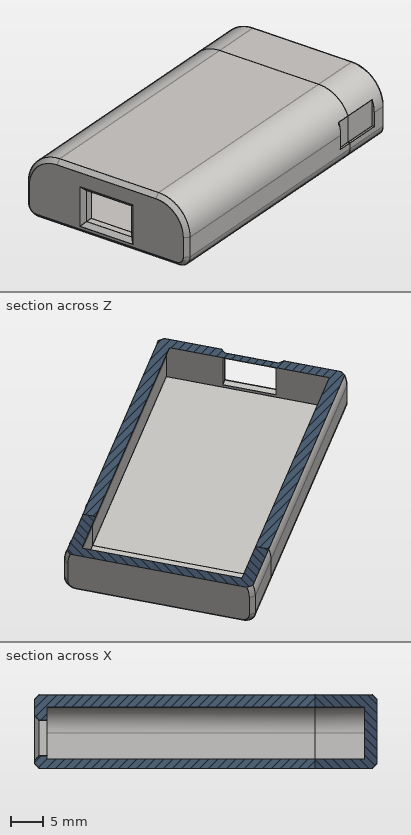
import cadquery as cq

width = 30.85
length = 53.3
height = 11.5

top_radius = 6.0
bottom_radius = 2.0
end_chamfer = 0.75

cap_length = 9.65
joint_y = length - cap_length

wall = 2.0
floor_thickness = 1.5
cavity_width = width - 2 * wall
cavity_height = height - wall - floor_thickness
cavity_radius = top_radius - wall

port_width = 8.6
port_height = 5.5
port_bottom_z = 2.0
port_chamfer = 0.75

grip_length = 9.0
grip_depth = 0.4
grip_rear_gap = 3.15
grip_bottom_z = 3.0


def round_top_bar(bar_width, bar_height, radius, start_y, end_y):
    """Bar along Y, standing on Z = 0, with its two upper long edges rounded."""
    bar = cq.Workplane("XY").box(bar_width, end_y - start_y, bar_height, centered=(True, False, False))
    return bar.translate((0, start_y, 0)).edges("|Y and >Z").fillet(radius)


def case_section(start_y, end_y, end_face):
    """Solid stretch of the case, chamfered around the one face that is an outer end."""
    bar = round_top_bar(width, height, top_radius, start_y, end_y)
    rounded = bar.edges("|Y and <Z").fillet(bottom_radius)
    return rounded.faces(end_face).edges().chamfer(end_chamfer)


def cavity_cutter():
    """Interior space, closed by a wall at each end of the case."""
    bar = round_top_bar(cavity_width, cavity_height, cavity_radius, wall, length - wall)
    return bar.translate((0, 0, floor_thickness))


def port_cutter():
    """Rectangular opening through the front wall, its mouth flared at 45 degrees."""
    mouth_width = port_width + 2 * port_chamfer
    mouth_height = port_height + 2 * port_chamfer
    front_plane = cq.Workplane("XZ", origin=(0, 0, port_bottom_z + port_height / 2))
    opening = front_plane.rect(port_width, port_height).extrude(-wall)
    flare = (
        front_plane.rect(mouth_width, mouth_height)
        .workplane(offset=-port_chamfer)
        .rect(port_width, port_height)
        .loft()
    )
    return opening.union(flare)


def grip_cutter():
    """Block that leaves an upright wall and a level ledge, open to the top round."""
    block = cq.Workplane("XY").box(grip_depth, grip_length, height - grip_bottom_z, centered=False)
    grip_start_y = length - grip_rear_gap - grip_length
    return block.translate((width / 2 - grip_depth, grip_start_y, grip_bottom_z))


housing = case_section(0, joint_y, "<Y")
housing = housing.cut(cavity_cutter()).cut(port_cutter()).cut(grip_cutter())

cap = case_section(joint_y, length, ">Y")
cap = cap.cut(cavity_cutter()).cut(grip_cutter())

result = cq.Compound.makeCompound([housing.val(), cap.val()])